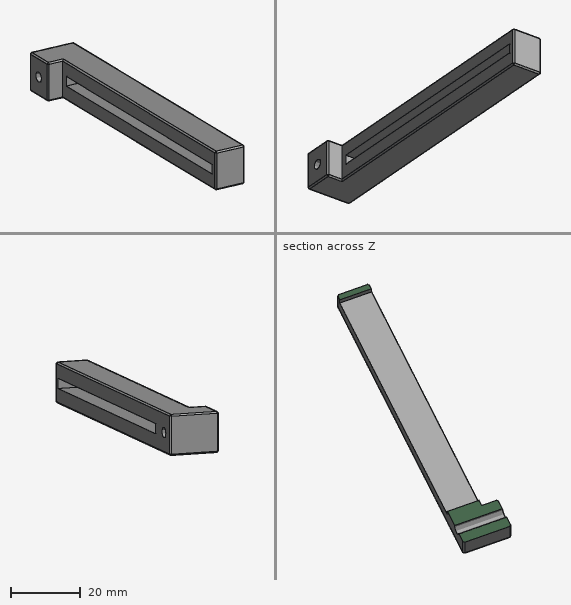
import cadquery as cq

length = 93.0
depth = 15.0
height = 12.0

arm_thickness = 9.95
head_length = 9.95
edge_chamfer = 0.5

hole_diameter = 3.0

slot_height = 3.0
slot_end_margin = 1.95


def make_body():
    step_y = depth - arm_thickness
    outline = [
        (0, 0),
        (head_length, 0),
        (head_length, step_y),
        (length, step_y),
        (length, depth),
        (0, depth),
    ]
    body = cq.Workplane("XY").polyline(outline).close().extrude(height)
    inner_corner = cq.selectors.NearestToPointSelector((head_length, step_y, height / 2))
    outer_edges = cq.selectors.InverseSelector(inner_corner)
    return body.edges(outer_edges).chamfer(edge_chamfer)


def make_screw_hole():
    return (
        cq.Workplane("XZ")
        .center(head_length / 2, height / 2)
        .circle(hole_diameter / 2)
        .extrude(-depth)
    )


def make_slot():
    slot_start = head_length + slot_end_margin
    slot_length = length - slot_end_margin - slot_start
    return (
        cq.Workplane("XY")
        .box(slot_length, depth, slot_height, centered=(False, False, True))
        .translate((slot_start, 0, height / 2))
    )


result = make_body().cut(make_screw_hole()).cut(make_slot())